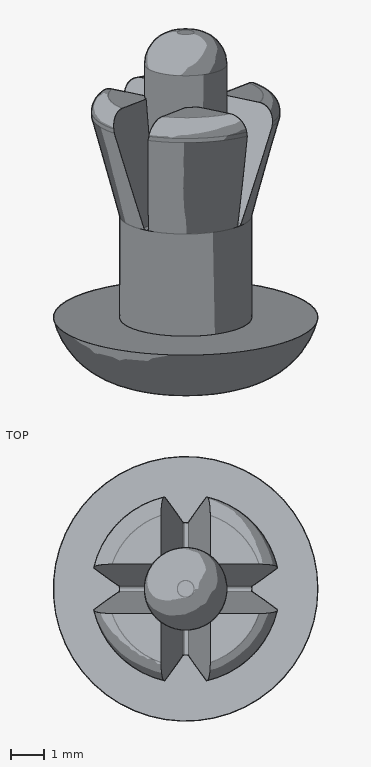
import cadquery as cq
import math

head_radius = 4.0
head_height = 1.97
crown_radius = head_radius / 2
crown_height = 0.11
dome_mid_radius = 3.29
dome_mid_height = 0.77
crown_mid_radius = crown_radius / 2
crown_mid_height = crown_height / 4

shank_radius = head_radius / 2
flare_base = 5.2
barb_radius = 2.85
barb_top = 8.97
barb_rounding = 0.5
barb_band = 0.13

pin_radius = 1.25
pin_top = 10.96
pin_rounding = 1.0

slot_top_width = 1.49
slot_floor_radius = 0.09


def make_head():
    return (
        cq.Workplane("XZ")
        .moveTo(0, 0)
        .threePointArc((crown_mid_radius, crown_mid_height), (crown_radius, crown_height))
        .threePointArc((dome_mid_radius, dome_mid_height), (head_radius, head_height))
        .lineTo(0, head_height)
        .close()
        .revolve(360, (0, 0), (0, 1))
    )


def make_flared_shank():
    rounding_base = barb_top - barb_rounding
    diagonal = barb_rounding * 0.5**0.5
    rounding_center = barb_radius - barb_rounding
    return (
        cq.Workplane("XZ")
        .moveTo(0, head_height)
        .lineTo(shank_radius, head_height)
        .lineTo(shank_radius, flare_base)
        .lineTo(barb_radius, rounding_base - barb_band)
        .lineTo(barb_radius, rounding_base)
        .threePointArc((rounding_center + diagonal, rounding_base + diagonal), (rounding_center, barb_top))
        .lineTo(0, barb_top)
        .close()
        .revolve(360, (0, 0), (0, 1))
    )


def make_slot(plane):
    half_top = slot_top_width / 2
    floor_center = flare_base + slot_floor_radius
    rise = barb_top - floor_center
    corner_distance = math.hypot(half_top, rise)
    wall_lean = math.atan2(half_top, rise) - math.asin(slot_floor_radius / corner_distance)
    tangent_x = slot_floor_radius * math.cos(wall_lean)
    tangent_z = floor_center - slot_floor_radius * math.sin(wall_lean)
    return (
        cq.Workplane(plane)
        .moveTo(-half_top, barb_top)
        .lineTo(-tangent_x, tangent_z)
        .threePointArc((0, flare_base), (tangent_x, tangent_z))
        .lineTo(half_top, barb_top)
        .close()
        .extrude(2 * barb_radius, both=True)
    )


def make_pin():
    return (
        cq.Workplane("XY")
        .workplane(offset=flare_base)
        .circle(pin_radius)
        .extrude(pin_top - flare_base)
        .faces(">Z")
        .edges()
        .fillet(pin_rounding)
    )


barbs = make_flared_shank()
for slot_plane in ("XZ", "YZ"):
    barbs = barbs.cut(make_slot(slot_plane))

result = make_head().union(barbs).union(make_pin())